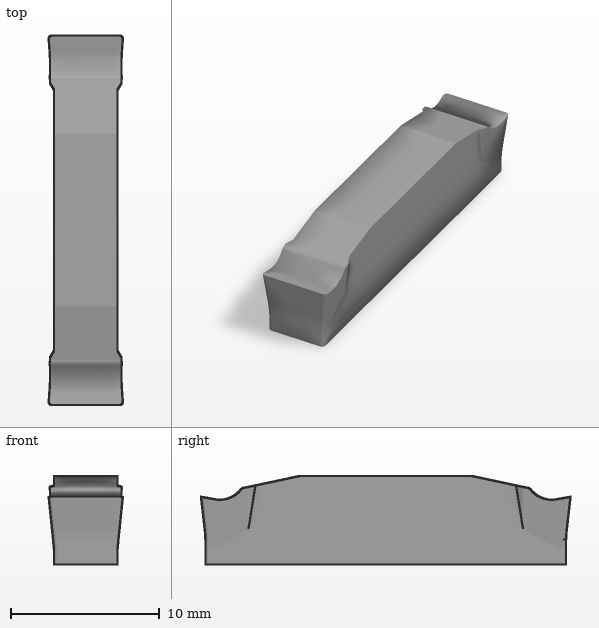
import cadquery as cq

tip_y = 12.45
height = 5.97
body_half_width = 2.15
end_face_y = 12.15
flat_half_length = 5.82

ramp_end = (9.43, 5.2)
crest_mid = (9.63, 5.15)
groove_start = (9.78, 5.03)
groove_mid = (10.5, 4.5)
groove_end = (11.47, 4.4)
tip = (tip_y, 4.58)
relief_start = (12.17, 2.2)
blend_start = (end_face_y, 1.72)

cheek_root = (body_half_width, 9.23, 2.45)
cheek_lower_slope = -0.55
cheek_back_lean = -0.16
cheek_ridge_flare = 0.097
cheek_reach = 14.93
corner_radius = 0.25
ridge_radius = 0.15
stock_half_width = 3.73

corner_x = 2.26
corner_y = 12.25
corner_search = 0.17
ridge_x = 2.26
ridge_search = 0.05


def make_profile_stock():
    """Full-length bar with the cutting profile at both ends, wider than the part."""
    half = (
        cq.Workplane("YZ", origin=(-stock_half_width, 0, 0))
        .lineTo(end_face_y, 0)
        .lineTo(*blend_start)
        .tangentArcPoint(relief_start, relative=False)
        .lineTo(*tip)
        .lineTo(*groove_end)
        .threePointArc(groove_mid, groove_start)
        .threePointArc(crest_mid, ramp_end)
        .lineTo(flat_half_length, height)
        .lineTo(0, height)
        .close()
        .extrude(2 * stock_half_width)
    )
    return half.union(half.mirror("XZ")).clean()


def make_cheek():
    """Three-sided wedge spreading from its root on the body side."""
    root = cq.Vector(*cheek_root)
    lower = root + cq.Vector(0, 1, cheek_lower_slope) * cheek_reach
    back = root + cq.Vector(0, cheek_back_lean, 1) * cheek_reach
    ridge = root + cq.Vector(cheek_ridge_flare, 0, 1) * cheek_reach
    triangles = [(root, lower, back), (root, back, ridge), (root, ridge, lower), (lower, ridge, back)]
    faces = [cq.Face.makeFromWires(cq.Wire.makePolygon(t, close=True)) for t in triangles]
    return cq.Workplane(cq.Solid.makeSolid(cq.Shell.makeShell(faces)))


def edges_near(solid, x, y, half_size):
    """Edges centred in a full-height square column around (x, y)."""
    low = (x - half_size, y - half_size, 0)
    high = (x + half_size, y + half_size, height)
    return solid.edges(cq.selectors.BoxSelector(low, high))


body = cq.Workplane("XY").box(2 * body_half_width, 2 * tip_y, height, centered=(True, True, False))
cheek = make_cheek()
cheek_pair = cheek.union(cheek.mirror("XZ"))
envelope = body.union(cheek_pair).union(cheek_pair.mirror("YZ"))
result = make_profile_stock().intersect(envelope)

cheek_root_y = cheek_root[1]
for x_side in (-1, 1):
    for y_side in (-1, 1):
        corner = edges_near(result, x_side * corner_x, y_side * corner_y, corner_search)
        result = corner.fillet(corner_radius)
        ridge = edges_near(result, x_side * ridge_x, y_side * cheek_root_y, ridge_search)
        result = ridge.fillet(ridge_radius)